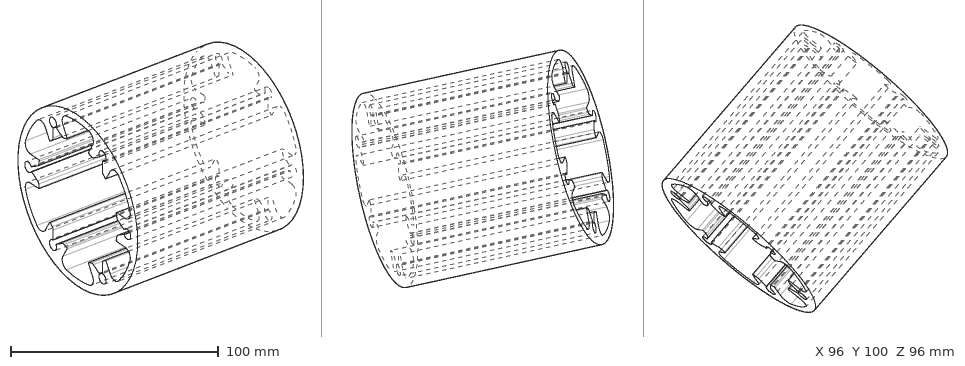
import cadquery as cq
import math

length = 100.0
outer_radius = 48.0
wall_thickness = 4.0
inner_radius = outer_radius - wall_thickness

rib_count = 6
rib_half_width = 8.1
rib_tip_radius = 31.7
root_fillet = 4.2
tip_outer_fillet = 0.5
tip_inner_fillet = 2.0

channel_center_radius = 39.6
channel_hole_radius = 2.8
neck_half_width = 1.4
flare_start_radius = 36.9
flare_angle = math.radians(30)

tip_overrun = 3.0
flare_end_radius = rib_tip_radius - tip_overrun
flare_end_half_width = neck_half_width + (flare_start_radius - flare_end_radius) * math.tan(flare_angle)


def make_rib_blank(angle):
    """Solid rib along the tube, overlapping the middle of the wall."""
    rib_start = rib_tip_radius - tip_overrun
    rib_end = inner_radius + wall_thickness / 2
    return (
        cq.Workplane("XY")
        .center((rib_start + rib_end) / 2, 0)
        .rect(rib_end - rib_start, 2 * rib_half_width)
        .extrude(length)
        .rotate((0, 0, 0), (0, 0, 1), angle)
    )


def make_channel(angle):
    """Round screw hole with a narrow neck that flares toward the tube axis."""
    hole = (
        cq.Workplane("XY")
        .center(channel_center_radius, 0)
        .circle(channel_hole_radius)
        .extrude(length)
    )
    opening = (
        cq.Workplane("XY")
        .moveTo(channel_center_radius, neck_half_width)
        .lineTo(flare_start_radius, neck_half_width)
        .lineTo(flare_end_radius, flare_end_half_width)
        .lineTo(flare_end_radius, -flare_end_half_width)
        .lineTo(flare_start_radius, -neck_half_width)
        .lineTo(channel_center_radius, -neck_half_width)
        .close()
        .extrude(length)
    )
    return hole.union(opening).rotate((0, 0, 0), (0, 0, 1), angle)


def edges_at(body, radius, half_width):
    """Lengthwise edges at a distance from the axis and from a rib's midplane."""
    rib_offset = math.asin(half_width / radius)
    picker_size = 0.2
    edges = body.edges("|Z")
    picked = []
    for index in range(rib_count):
        for side in (-1, 1):
            angle = 2 * math.pi * index / rib_count + side * rib_offset
            x = radius * math.cos(angle)
            y = radius * math.sin(angle)
            picker = cq.selectors.BoxSelector(
                (x - picker_size, y - picker_size, 0),
                (x + picker_size, y + picker_size, length),
            )
            picked += edges.edges(picker).vals()
    return body.newObject(picked)


rib_angles = [360 * index / rib_count for index in range(rib_count)]

body = cq.Workplane("XY").circle(outer_radius).circle(inner_radius).extrude(length)
for rib_angle in rib_angles:
    body = body.union(make_rib_blank(rib_angle))
body = body.cut(cq.Workplane("XY").circle(rib_tip_radius).extrude(length))

for rib_angle in rib_angles:
    body = body.cut(make_channel(rib_angle))

flare_line_offset = (
    neck_half_width * math.cos(flare_angle) + flare_start_radius * math.sin(flare_angle)
)
tip_angle = math.asin(flare_line_offset / rib_tip_radius) - flare_angle
tip_inner_half_width = rib_tip_radius * math.sin(tip_angle)

body = edges_at(body, inner_radius, rib_half_width).fillet(root_fillet)
body = edges_at(body, rib_tip_radius, rib_half_width).fillet(tip_outer_fillet)
body = edges_at(body, rib_tip_radius, tip_inner_half_width).fillet(tip_inner_fillet)

result = body.translate((0, 0, -length / 2)).rotate((0, 0, 0), (1, 0, 0), 90)